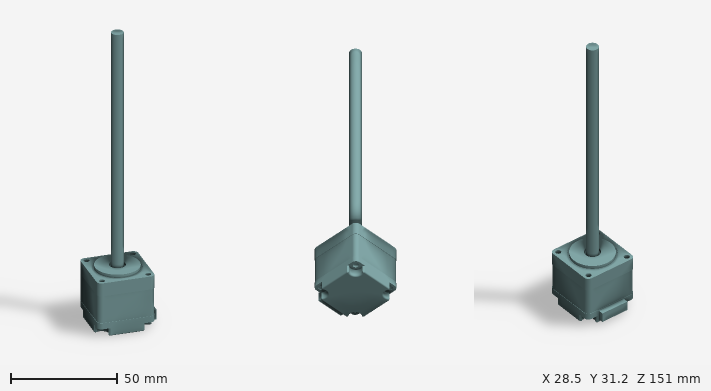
import cadquery as cq

TOTAL_HEIGHT = 151.0
BODY_SIDE = 28.5
BODY_HEIGHT = 28.1
BODY_CORNER_RADIUS = 2.4
BASE_FILLET = 0.6

STATOR_BOTTOM = 7.2
STATOR_TOP = 21.3
STATOR_INSET = 0.17

BOSS_DIAMETER = 22.0
BOSS_HEIGHT = 1.5
GROOVE_DIAMETER = 24.0
GROOVE_DEPTH = 0.2

SHAFT_DIAMETER = 6.0
SHAFT_BORE_DIAMETER = 8.0
SHAFT_BORE_DEPTH = BOSS_HEIGHT

HOLE_DIAMETER = 2.9
HOLE_SPACING = 23.0
POCKET_DIAMETER = 6.5
POCKET_HEIGHT = 4.1
POCKET_CORNER_CUT = 6.0

CONNECTOR_WIDTH = 15.0
CONNECTOR_REACH = 2.7
CONNECTOR_BOTTOM = 1.8
CONNECTOR_HEIGHT = 5.0

HALF_SIDE = BODY_SIDE / 2
BOSS_TOP = BODY_HEIGHT + BOSS_HEIGHT
CORNER_SIGNS = [(-1, -1), (1, -1), (1, 1), (-1, 1)]


def cylinder(diameter, bottom, top):
    """Vertical cylinder on the shaft axis between two heights."""
    return cq.Workplane("XY").workplane(offset=bottom).circle(diameter / 2).extrude(top - bottom)


def head_pocket(sign_x, sign_y):
    """Corner triangle merged with a round screw-head seat, open at the underside."""
    corner_x = sign_x * HALF_SIDE
    corner_y = sign_y * HALF_SIDE
    triangle = (
        cq.Workplane("XY")
        .moveTo(corner_x, corner_y)
        .lineTo(corner_x - sign_x * POCKET_CORNER_CUT, corner_y)
        .lineTo(corner_x, corner_y - sign_y * POCKET_CORNER_CUT)
        .close()
        .extrude(POCKET_HEIGHT)
    )
    seat_center = (sign_x * HOLE_SPACING / 2, sign_y * HOLE_SPACING / 2, 0)
    seat = cylinder(POCKET_DIAMETER, 0, POCKET_HEIGHT).translate(seat_center)
    return triangle.union(seat)


def rounded_block(inset, bottom, top):
    """Square block with rounded vertical edges, set back evenly from the body outline."""
    side = BODY_SIDE - 2 * inset
    return (
        cq.Workplane("XY")
        .workplane(offset=bottom)
        .rect(side, side)
        .extrude(top - bottom)
        .edges("|Z")
        .fillet(BODY_CORNER_RADIUS - inset)
    )


def motor_body():
    """Two end caps around an inset stator, with screw holes, head pockets and a rounded underside edge."""
    rear_cap = rounded_block(0, 0, STATOR_BOTTOM)
    for sign_x, sign_y in CORNER_SIGNS:
        rear_cap = rear_cap.cut(head_pocket(sign_x, sign_y))
    rear_cap = rear_cap.faces("<Z").edges().fillet(BASE_FILLET)

    stator = rounded_block(STATOR_INSET, STATOR_BOTTOM, STATOR_TOP)
    front_cap = rounded_block(0, STATOR_TOP, BODY_HEIGHT)
    screw_holes = (
        cq.Workplane("XY")
        .rect(HOLE_SPACING, HOLE_SPACING, forConstruction=True)
        .vertices()
        .circle(HOLE_DIAMETER / 2)
        .extrude(BODY_HEIGHT)
    )
    return rear_cap.union(stator).union(front_cap).cut(screw_holes)


def connector():
    """Rectangular plug housing on the +Y side."""
    return (
        cq.Workplane("XY")
        .workplane(offset=CONNECTOR_BOTTOM)
        .center(0, HALF_SIDE)
        .rect(CONNECTOR_WIDTH, 2 * CONNECTOR_REACH)
        .extrude(CONNECTOR_HEIGHT)
    )


bore_floor = BOSS_TOP - SHAFT_BORE_DEPTH
groove_floor = BODY_HEIGHT - GROOVE_DEPTH

result = (
    motor_body()
    .cut(cylinder(GROOVE_DIAMETER, groove_floor, BODY_HEIGHT))
    .union(cylinder(BOSS_DIAMETER, groove_floor, BOSS_TOP))
    .cut(cylinder(SHAFT_BORE_DIAMETER, bore_floor, BOSS_TOP))
    .union(cylinder(SHAFT_DIAMETER, bore_floor, TOTAL_HEIGHT))
    .union(connector())
)